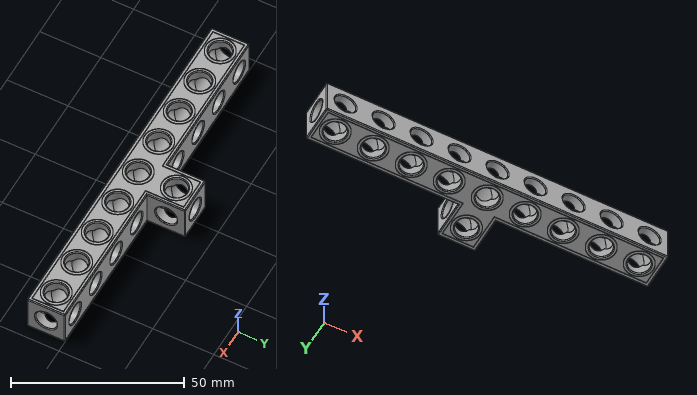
import cadquery as cq

length = 112.5
cell_count = 9
pitch = length / cell_count
half_pitch = pitch / 2

hole_diameter = 7.0
hole_chamfer = 0.3
ring_diameter = 9.2

edge_chamfer = 0.3
rim_width = 1.1
panel_depth = 0.2

bar_centers = [(i - (cell_count - 1) / 2) * pitch for i in range(cell_count)]
stem_length = 2 * pitch
stem_center_y = half_pitch
stem_end_y = stem_center_y + stem_length / 2
cell_centers = [(x, 0) for x in bar_centers] + [(0, pitch)]


def block(size_x, size_y, center_y):
    """Full-height box with all edges chamfered."""
    box = cq.Workplane("XY").box(size_x, size_y, pitch)
    return box.edges().chamfer(edge_chamfer).translate((0, center_y, 0))


def panel_recess(bottom_z):
    """Shallow T-shaped slab inside the rim, with a ring left standing at each hole."""
    base = cq.Workplane("XY", origin=(0, 0, bottom_z))
    bar = base.rect(length - 2 * rim_width, pitch - 2 * rim_width).extrude(panel_depth)
    stem = (
        base.center(0, stem_center_y)
        .rect(pitch - 2 * rim_width, stem_length - 2 * rim_width)
        .extrude(panel_depth)
    )
    rings = base.pushPoints(cell_centers).circle(ring_diameter / 2).extrude(panel_depth)
    return bar.union(stem).cut(rings)


def through_hole(start, direction, depth):
    """Cutter for a hole of the given depth, chamfered at both mouths."""
    hole_radius = hole_diameter / 2
    mouth_radius = hole_radius + hole_chamfer
    profile = [
        (0, 0),
        (mouth_radius, 0),
        (hole_radius, hole_chamfer),
        (hole_radius, depth - hole_chamfer),
        (mouth_radius, depth),
        (0, depth),
    ]
    cutter = cq.Workplane("XZ").polyline(profile).close().revolve(360, (0, 0), (0, 1))
    plane = cq.Plane(origin=start, normal=direction)
    return cutter.val().moved(cq.Location(plane))


body = block(length, pitch, 0).union(block(pitch, stem_length, stem_center_y))

for panel_bottom in (half_pitch - panel_depth, -half_pitch):
    body = body.cut(panel_recess(panel_bottom))

for x, y in cell_centers:
    body = body.cut(through_hole((x, y, -half_pitch), (0, 0, 1), pitch))

for x in bar_centers:
    end_y = stem_end_y if x == 0 else half_pitch
    body = body.cut(through_hole((x, -half_pitch, 0), (0, 1, 0), end_y + half_pitch))

body = body.cut(through_hole((-length / 2, 0, 0), (1, 0, 0), length))
body = body.cut(through_hole((-half_pitch, pitch, 0), (1, 0, 0), pitch))

result = body